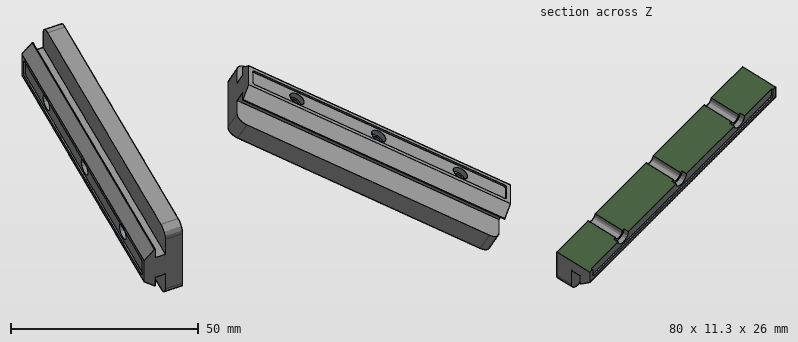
import cadquery as cq

length = 80.0
plate_height = 26.0
plate_thickness = 5.0
corner_radius = 3.0

total_depth = 11.3
neck_height = 8.0
neck_depth = 3.0
head_height = 14.7
head_face_height = 8.6
lip_thickness = 0.2

recess_margin = 1.3
recess_length = length - 2 * recess_margin
recess_height = head_face_height - 2 * recess_margin
recess_depth = 0.5
recess_corner_radius = 0.7

hole_spacing = 25.0
hole_diameter = 2.9
counterbore_diameter = 4.3
counterbore_depth = 1.5

plate_front = -plate_thickness
head_back = plate_front - neck_depth
flank_start = head_back - lip_thickness
rail_face = -total_depth
recess_floor = rail_face + recess_depth


def face_plane(y):
    """Sketch plane at the given Y, with its normal toward -Y."""
    return cq.Workplane("XZ", origin=(0, y, 0))


def make_plate():
    plate = face_plane(0).rect(length, plate_height).extrude(plate_thickness)
    return plate.edges("|Y").fillet(corner_radius)


def make_rail():
    upper_profile = [
        (plate_front, neck_height / 2),
        (head_back, neck_height / 2),
        (head_back, head_height / 2),
        (flank_start, head_height / 2),
        (rail_face, head_face_height / 2),
    ]
    lower_profile = [(y, -z) for y, z in reversed(upper_profile)]
    profile = cq.Workplane("YZ").polyline(upper_profile + lower_profile).close()
    return profile.extrude(length / 2, both=True)


def make_recess():
    recess = face_plane(recess_floor).rect(recess_length, recess_height).extrude(recess_depth)
    return recess.edges("|Y").fillet(recess_corner_radius)


def make_holes():
    centers = [(i * hole_spacing, 0) for i in (-1, 0, 1)]
    bores = face_plane(0).pushPoints(centers).circle(hole_diameter / 2).extrude(total_depth)
    counterbores = (
        face_plane(recess_floor + counterbore_depth)
        .pushPoints(centers)
        .circle(counterbore_diameter / 2)
        .extrude(counterbore_depth)
    )
    return bores.union(counterbores)


result = make_plate().union(make_rail()).cut(make_recess()).cut(make_holes())